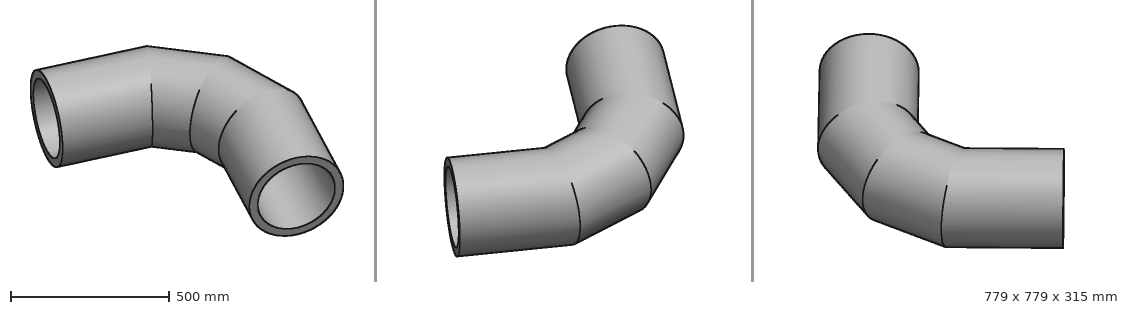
import cadquery as cq
import math

outer_diameter = 315.0
bore_diameter = 258.0
overall_size = 779.0
straight_length = 240.0
bend_angle = 90.0
mitre_count = 3

end_to_corner = overall_size - outer_diameter / 2
bend_radius = end_to_corner - straight_length
turn_per_mitre = bend_angle / mitre_count
half_turn = math.radians(turn_per_mitre / 2)
mitre_radius = bend_radius / math.cos(half_turn)


def mitre_corner(index):
    """Centreline corner of one mitre, with the first leg's axis along Y at X = 0."""
    angle = math.radians(turn_per_mitre * index) + half_turn
    x = bend_radius - mitre_radius * math.cos(angle)
    y = straight_length + mitre_radius * math.sin(angle)
    return (x, y)


centreline_points = [(0, 0)]
centreline_points += [mitre_corner(index) for index in range(mitre_count)]
centreline_points.append((end_to_corner, end_to_corner))


def mitred_rod(diameter):
    """Solid round bar following the centreline with sharp mitred corners."""
    centreline = cq.Workplane("XY").polyline(centreline_points)
    return cq.Workplane("XZ").circle(diameter / 2).sweep(centreline, transition="right")


result = mitred_rod(outer_diameter).cut(mitred_rod(bore_diameter))